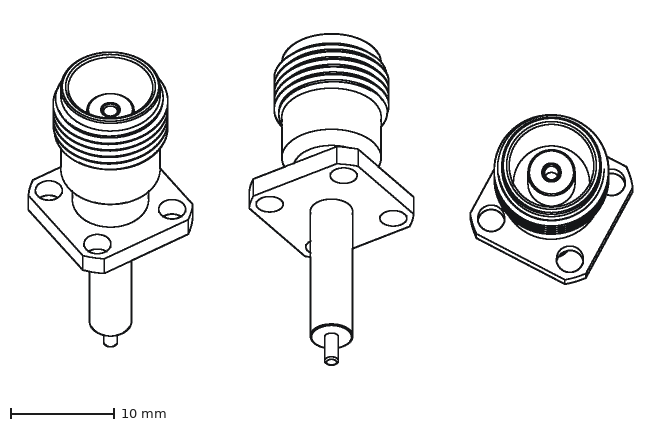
import cadquery as cq
import math

total_length = 35.7
flange_bottom = 17.93
flange_thickness = 2.05
flange_top = flange_bottom + flange_thickness
stem_bottom = 3.0
thread_bottom = 29.15
thread_top = 34.5

flange_side = 12.7
flange_corner_diameter = 16.0
mount_hole_diameter = 2.6
mount_hole_spacing = 8.65

body_diameter = 9.65
neck_diameter = 7.4
shoulder_bottom = 23.15
shoulder_top = shoulder_bottom + (body_diameter - neck_diameter) / 2
rim_outer_chamfer = 0.15

stem_diameter = 4.1
stem_chamfer = 0.1
pin_diameter = 1.35
pin_chamfer = 0.18

thread_diameter = 11.15
thread_root_diameter = 10.2
five_turn_rise = 4.55
thread_pitch = five_turn_rise / 5
thread_crest_flat = 0.1
thread_flank_angle = 30.0
groove_height_at_plus_x = 33.15
groove_overshoot = 0.1
groove_spare_turns = 2
blank_spare_turns = 4
trim_clearance = 0.32

socket_mouth_diameter = 8.7
socket_top_diameter = 8.2
socket_floor_diameter = 7.4
socket_lip_depth = 0.15
socket_depth = 8.0

insulator_diameter = 4.57
insulator_tip_diameter = 4.3
insulator_depth = 3.18
contact_diameter = 1.85
contact_recess = 0.07
contact_hole_diameter = 1.35
contact_hole_mouth_diameter = 1.65
contact_hole_depth = 3.0


def cylinder(diameter, bottom, top):
    return cq.Workplane("XY").workplane(offset=bottom).circle(diameter / 2).extrude(top - bottom)


def revolve_outline(points):
    """Turn an outline of (radius, height) points about the Z axis."""
    return cq.Workplane("XZ").polyline(points).close().revolve(360, (0, 0, 0), (0, 1, 0))


def make_flange():
    plate = (
        cq.Workplane("XY")
        .workplane(offset=flange_bottom)
        .rect(flange_side, flange_side)
        .extrude(flange_thickness)
    )
    plate = plate.intersect(cylinder(flange_corner_diameter, flange_bottom, flange_top))
    return (
        plate.faces(">Z")
        .workplane(origin=(0, 0, flange_top))
        .rect(mount_hole_spacing, mount_hole_spacing, forConstruction=True)
        .vertices()
        .hole(mount_hole_diameter)
    )


def make_barrel():
    neck = neck_diameter / 2
    body = body_diameter / 2
    return revolve_outline(
        [
            (0, flange_bottom),
            (neck, flange_bottom),
            (neck, shoulder_bottom),
            (body, shoulder_top),
            (body, total_length - rim_outer_chamfer),
            (body - rim_outer_chamfer, total_length),
            (0, total_length),
        ]
    )


def make_stem_and_pin():
    stem = cylinder(stem_diameter, stem_bottom, flange_top).faces("<Z").chamfer(stem_chamfer)
    pin = cylinder(pin_diameter, 0, flange_top).faces("<Z").chamfer(pin_chamfer)
    return stem.union(pin)


def make_thread_groove():
    """Helical groove that reaches past both thread ends and outside the crests."""
    root_radius = thread_root_diameter / 2
    outer_radius = thread_diameter / 2 + groove_overshoot
    flank_slope = math.tan(math.radians(thread_flank_angle))
    half_crest_gap = (thread_pitch - thread_crest_flat) / 2
    half_outer = half_crest_gap + groove_overshoot * flank_slope
    half_root = half_crest_gap - (thread_diameter / 2 - root_radius) * flank_slope
    turns = math.ceil((thread_top - thread_bottom) / thread_pitch) + groove_spare_turns
    start = groove_height_at_plus_x - (turns - groove_spare_turns) * thread_pitch
    path = cq.Wire.makeHelix(thread_pitch, turns * thread_pitch, root_radius, cq.Vector(0, 0, start))
    return (
        cq.Workplane("XZ")
        .polyline(
            [
                (root_radius, start - half_root),
                (outer_radius, start - half_outer),
                (outer_radius, start + half_outer),
                (root_radius, start + half_root),
            ]
        )
        .close()
        .sweep(cq.Workplane(obj=path), isFrenet=True)
    )


def make_thread():
    """Grooved cylinder trimmed to 45 degree run-outs that end on the body."""
    margin = blank_spare_turns * thread_pitch
    blank = cylinder(thread_diameter, thread_bottom - margin, thread_top + margin)
    body = body_diameter / 2
    trim_radius = thread_diameter / 2 + trim_clearance
    run_out = trim_radius - body
    trim = revolve_outline(
        [
            (0, thread_bottom),
            (body, thread_bottom),
            (trim_radius, thread_bottom + run_out),
            (trim_radius, thread_top - run_out),
            (body, thread_top),
            (0, thread_top),
        ]
    )
    return blank.cut(make_thread_groove()).intersect(trim)


def make_socket_cut():
    lip_bottom = total_length - socket_lip_depth
    floor = total_length - socket_depth
    return revolve_outline(
        [
            (0, floor),
            (socket_floor_diameter / 2, floor),
            (socket_top_diameter / 2, lip_bottom),
            (socket_mouth_diameter / 2, total_length),
            (0, total_length),
        ]
    )


def make_insulator():
    """Insulator post whose recessed centre contact has a countersunk hole."""
    floor = total_length - socket_depth
    tip = total_length - insulator_depth
    chamfer = (insulator_diameter - insulator_tip_diameter) / 2
    post = cylinder(insulator_diameter, floor, tip).faces(">Z").chamfer(chamfer)
    contact_top = tip - contact_recess
    contact_radius = contact_diameter / 2
    mouth_radius = contact_hole_mouth_diameter / 2
    hole_radius = contact_hole_diameter / 2
    hole_bottom = contact_top - contact_hole_depth
    opening = revolve_outline(
        [
            (0, hole_bottom),
            (hole_radius, hole_bottom),
            (hole_radius, contact_top - (mouth_radius - hole_radius)),
            (mouth_radius, contact_top),
            (contact_radius, contact_top),
            (contact_radius, tip),
            (0, tip),
        ]
    )
    return post.cut(opening)


shell = make_barrel().union(make_thread())
shell = shell.cut(make_socket_cut())
result = shell.union(make_insulator()).union(make_flange()).union(make_stem_and_pin())